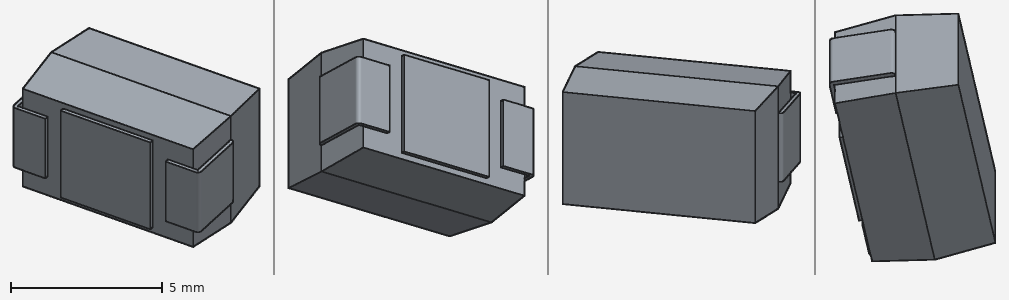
import cadquery as cq
import math

overall_length = 7.3
housing_height = 4.3
overall_depth = 4.3
draft_angle = 5.0
sheet_thickness = 0.145
lead_width = 2.4
foot_length = 1.31
bend_radius = 0.14
pad_side = 3.5

half_length = overall_length / 2
housing_length = overall_length - 2 * sheet_thickness
half_depth = (overall_depth - sheet_thickness) / 2
draft_slope = math.tan(math.radians(draft_angle))
mounting_y = -half_depth
foot_y = mounting_y - sheet_thickness


def make_housing_half(direction):
    """Drafted block growing from the parting plane along Y; direction is +1 or -1."""
    return (
        cq.Workplane("XZ")
        .rect(housing_length, housing_height)
        .extrude(-direction * half_depth, taper=draft_angle)
    )


def make_lead(side):
    """C-shaped strip at the -X or +X end (side is -1 or +1)."""
    housing_edge = housing_length / 2
    tip_x = housing_edge - sheet_thickness * draft_slope
    foot_end = half_length - foot_length
    outline = [
        (housing_edge, 0),
        (half_length, 0),
        (half_length, foot_y),
        (foot_end, foot_y),
        (foot_end, mounting_y),
        (housing_edge, mounting_y),
        (housing_edge, -sheet_thickness),
        (tip_x, -sheet_thickness),
    ]
    return (
        cq.Workplane("XY")
        .polyline([(side * x, y) for x, y in outline])
        .close()
        .extrude(lead_width / 2, both=True)
        .edges("|Z")
        .edges(">X" if side > 0 else "<X")
        .fillet(bend_radius)
    )


def make_pad():
    """Square plate centred on the mounting face."""
    return (
        cq.Workplane("XZ", origin=(0, mounting_y, 0))
        .rect(pad_side, pad_side)
        .extrude(sheet_thickness)
    )


rear_housing = make_housing_half(1)
front_housing = make_housing_half(-1)
leads = [make_lead(side) for side in (-1, 1)]
pad = make_pad()

result = cq.Compound.makeCompound([
    rear_housing.val(),
    front_housing.val(),
    *[lead.val() for lead in leads],
    pad.val(),
])